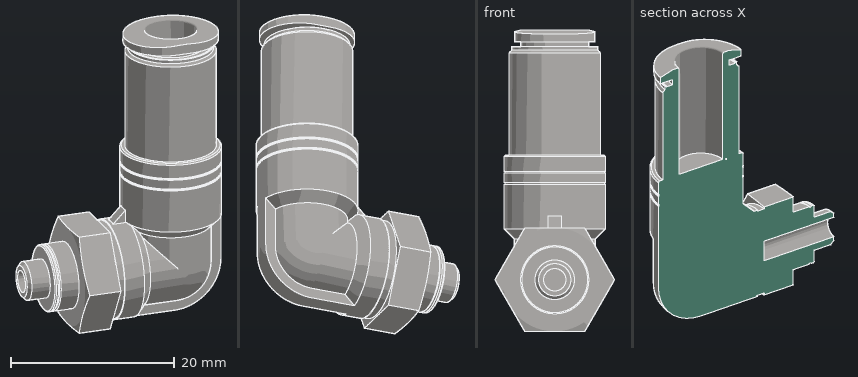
import cadquery as cq
import math

body_radius = 6.25
waist_radius = 5.0
waist_cone = body_radius - waist_radius
cone_start = 4.5
cone_end = cone_start + waist_cone
web_thickness = 2.65
gusset_width = 1.63
gusset_top = 7.8
gusset_reach = 7.9

socket_waist_height = waist_radius
socket_cone_end = socket_waist_height + waist_cone
socket_top = 15.25
socket_chamfer = 0.2
groove_heights = (11.8, 13.2)
groove_width = 0.2
groove_depth = 0.1

sleeve_radius = 5.6
sleeve_rim_radius = 5.3
sleeve_top = 28.55
sleeve_rim_height = 0.45
sleeve_recess_radius = 5.05
sleeve_recess_depth = 0.1
sleeve_chamfer = sleeve_radius - sleeve_rim_radius
part_top = 30.6
collar_neck_radius = 4.18
collar_bottom = 29.1
collar_length = 11.85
collar_width = 9.83
collar_cone_drop = 0.5
tube_bore_diameter = 6.35
tube_bore_depth = part_top - socket_top
bore_lip_radius = 0.3

neck_start = 8.3
neck_radius = 6.1
hex_start = 9.27
hex_end = 13.55
hex_across_flats = 12.7
hex_corner_radius = hex_across_flats / math.sqrt(3)
hex_chamfer_length = 0.22
stud_radius = 4.18
stud_end = 16.65
ring_length = 0.4
ring_groove_length = 0.37
ring_chamfer = 0.15
pin_radius = 4.85 / 2
pin_end = 19.5
pin_chamfer = 0.45
pin_bore_diameter = 2.75
pin_bore_depth = pin_end - hex_start


def turned(profile):
    """Revolve (radius, height) points, closed along the Z axis."""
    axis_points = [(0, profile[-1][1]), (0, profile[0][1])]
    return (
        cq.Workplane("XZ").polyline(profile + axis_points).close()
        .revolve(360, (0, 0, 0), (0, 1, 0))
    )


def along_stud(shape):
    """Turn a shape built along +Z so that it points along -Y."""
    return shape.rotate((0, 0, 0), (1, 0, 0), 90)


def cylinder(radius, start, end):
    return cq.Workplane("XY").workplane(offset=start).circle(radius).extrude(end - start)


def round_elbow(radius):
    """Two equal round legs joined by a ball at the corner."""
    upper_leg = cylinder(radius, 0, socket_cone_end)
    stud_leg = along_stud(cylinder(radius, 0, cone_end))
    return cq.Workplane("XY").sphere(radius).union(upper_leg).union(stud_leg)


def make_elbow():
    web_slab = cq.Workplane("XY").box(web_thickness, 4 * body_radius, 4 * body_radius)
    web = round_elbow(body_radius).intersect(web_slab)
    inner_corner = (
        cq.Workplane("XY").box(web_thickness, 2 * body_radius, 2 * body_radius)
        .translate((0, -body_radius, body_radius))
    )
    return round_elbow(waist_radius).union(web.cut(inner_corner))


def make_socket():
    socket = turned([
        (waist_radius, socket_waist_height),
        (body_radius, socket_cone_end),
        (body_radius, socket_top - socket_chamfer),
        (body_radius - socket_chamfer, socket_top),
    ])
    for height in groove_heights:
        ring = (
            cq.Workplane("XY").workplane(offset=height - groove_width / 2)
            .circle(body_radius + 0.37).circle(body_radius - groove_depth).extrude(groove_width)
        )
        socket = socket.cut(ring)
    return socket


def make_sleeve():
    rim_bottom = sleeve_top - sleeve_rim_height
    return turned([
        (sleeve_radius, socket_top),
        (sleeve_radius, rim_bottom - sleeve_chamfer),
        (sleeve_rim_radius, rim_bottom),
        (sleeve_rim_radius, sleeve_top),
        (sleeve_recess_radius, sleeve_top),
        (sleeve_recess_radius, sleeve_top - sleeve_recess_depth),
    ])


def make_collar():
    """Obround flange with a conical top, on a round neck."""
    cone = turned([
        (collar_length / 2, collar_bottom),
        (collar_length / 2, part_top - collar_cone_drop),
        (collar_neck_radius, part_top),
    ])
    obround = (
        cq.Workplane("XY").workplane(offset=collar_bottom)
        .slot2D(collar_length, collar_width, 90).extrude(part_top - collar_bottom)
    )
    neck = cylinder(collar_neck_radius, sleeve_top - sleeve_recess_depth, collar_bottom)
    return cone.intersect(obround).union(neck)


def make_stud():
    ring_start = stud_end - ring_length
    groove_start = ring_start - ring_groove_length
    return along_stud(turned([
        (waist_radius, cone_start),
        (body_radius, cone_end),
        (body_radius, neck_start),
        (neck_radius, neck_start),
        (neck_radius, hex_start),
        (stud_radius, hex_start),
        (stud_radius, groove_start),
        (stud_radius - ring_chamfer, groove_start + ring_chamfer),
        (stud_radius, ring_start),
        (stud_radius, stud_end - ring_chamfer),
        (stud_radius - ring_chamfer, stud_end),
        (pin_radius, stud_end),
        (pin_radius, pin_end - pin_chamfer),
        (pin_radius - pin_chamfer, pin_end),
    ]))


def make_hex():
    """Hexagon with its front corners turned down to a cone."""
    prism = (
        cq.Workplane("XY").workplane(offset=hex_start)
        .polygon(6, 2 * hex_corner_radius).extrude(hex_end - hex_start)
    )
    corner_cone = turned([
        (hex_corner_radius, hex_start),
        (hex_corner_radius, hex_end - hex_chamfer_length),
        (hex_across_flats / 2, hex_end),
    ])
    return along_stud(prism.intersect(corner_cone))


def make_gusset():
    """Small 45-degree rib in the inner corner of the elbow."""
    rise = gusset_reach - body_radius
    return (
        cq.Workplane("YZ")
        .moveTo(-waist_radius, gusset_top)
        .lineTo(-body_radius, gusset_top)
        .lineTo(-gusset_reach, gusset_top - rise)
        .lineTo(-gusset_reach, waist_radius)
        .lineTo(-waist_radius, waist_radius)
        .close().extrude(gusset_width / 2, both=True)
    )


def make_tube_bore():
    """Blind bore whose mouth is rounded over at the collar top."""
    radius = tube_bore_diameter / 2
    floor = part_top - tube_bore_depth
    return (
        cq.Workplane("XZ")
        .moveTo(0, floor)
        .lineTo(radius, floor)
        .lineTo(radius, part_top - bore_lip_radius)
        .radiusArc((radius + bore_lip_radius, part_top), bore_lip_radius)
        .lineTo(0, part_top)
        .close().revolve(360, (0, 0, 0), (0, 1, 0))
    )


pin_bore = along_stud(cylinder(pin_bore_diameter / 2, pin_end - pin_bore_depth, pin_end))

result = make_elbow()
for feature in (make_socket(), make_sleeve(), make_collar(), make_stud(), make_hex(), make_gusset()):
    result = result.union(feature)
result = result.cut(make_tube_bore()).cut(pin_bore)